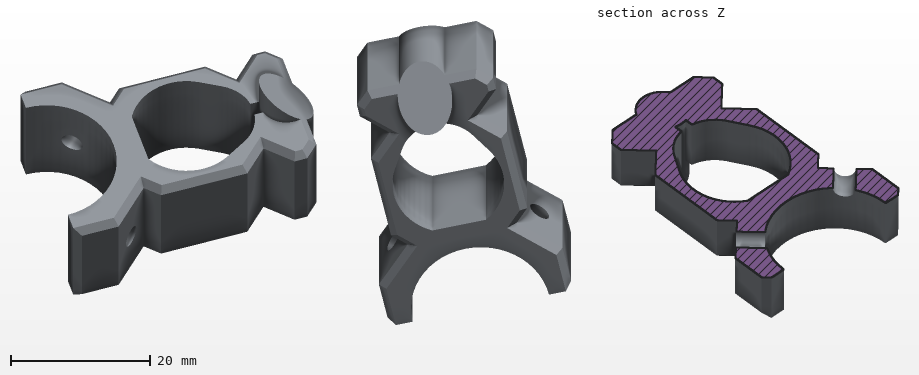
import cadquery as cq
import math

body_height = 16.0
edge_chamfer = 1.0
body_end = 38.0
body_half_width = 10.0
arm_half_width = 27.0 / 2
arm_neck_half_width = 8.0
arm_neck_y = 12.0
head_neck_half_width = 6.45
head_neck_y = 30.52
head_corner = 2.0

seat_radius = 10.0
screw_diameter = 3.2

egg_large_radius = 8.0
egg_small_radius = 6.0
egg_large_y = 21.0
egg_small_y = 25.0
egg_flat_y = 14.0
slot_width = 2.0

pin_radius = 3.9
pin_y = 39.9 - pin_radius


def base_plane():
    """Return the XY plane at the bottom face of the clip body."""
    return cq.Workplane("XY", origin=(0, 0, -body_height / 2))


def mirrored(points):
    """Close a half outline with its mirror image across the YZ plane."""
    return points + [(-x, y) for x, y in reversed(points)]


def make_body():
    neck_rise = body_half_width - head_neck_half_width
    half_outline = [
        (arm_half_width, 0),
        (arm_half_width, arm_neck_y - (arm_half_width - arm_neck_half_width)),
        (arm_neck_half_width, arm_neck_y),
        (body_half_width, arm_neck_y + body_half_width - arm_neck_half_width),
        (body_half_width, head_neck_y - neck_rise),
        (head_neck_half_width, head_neck_y),
        (body_half_width, head_neck_y + neck_rise),
        (body_half_width, body_end - head_corner),
        (body_half_width - head_corner, body_end),
    ]
    body = (
        base_plane()
        .polyline(mirrored(half_outline))
        .close()
        .extrude(body_height)
    )
    arm_ends = body.faces("<Y").edges("|X")
    rims = body.faces("<Z or >Z").edges().objects
    rims = [edge for edge in rims if not any(edge.isSame(end) for end in arm_ends.objects)]
    arm_corners = body.faces("<Y").edges("|Z").objects
    return body.newObject(rims + arm_corners).chamfer(edge_chamfer)


def make_egg_cutter():
    sine = (egg_large_radius - egg_small_radius) / (egg_small_y - egg_large_y)
    cosine = math.sqrt(1 - sine**2)
    large_x = egg_large_radius * cosine
    large_y = egg_large_y + egg_large_radius * sine
    small_x = egg_small_radius * cosine
    small_y = egg_small_y + egg_small_radius * sine
    flat_x = math.sqrt(egg_large_radius**2 - (egg_large_y - egg_flat_y) ** 2)
    return (
        base_plane()
        .moveTo(-flat_x, egg_flat_y)
        .lineTo(flat_x, egg_flat_y)
        .threePointArc((egg_large_radius, egg_large_y), (large_x, large_y))
        .lineTo(small_x, small_y)
        .threePointArc((0, egg_small_y + egg_small_radius), (-small_x, small_y))
        .lineTo(-large_x, large_y)
        .threePointArc((-egg_large_radius, egg_large_y), (-flat_x, egg_flat_y))
        .close()
        .extrude(body_height)
    )


def make_slot_cutter():
    length = pin_y - egg_small_y
    return (
        base_plane()
        .center(0, egg_small_y + length / 2)
        .rect(slot_width, length)
        .extrude(body_height)
    )


def make_screw_cutter(side):
    half_slope = (arm_half_width - arm_neck_half_width) / 2
    start_x = side * (arm_neck_half_width + half_slope)
    start = cq.Vector(start_x, arm_neck_y - half_slope, 0)
    inward = cq.Vector(-side, -1, 0)
    return cq.Solid.makeCylinder(screw_diameter / 2, seat_radius, start, inward)


def make_pin():
    apex_y = body_end - edge_chamfer + body_height / 2
    pin_front = pin_y - pin_radius
    wedge = (
        cq.Workplane("YZ")
        .polyline([
            (pin_front, pin_front - apex_y),
            (apex_y, 0),
            (pin_front, apex_y - pin_front),
        ])
        .close()
        .extrude(pin_radius, both=True)
    )
    return (
        cq.Workplane("XY")
        .center(0, pin_y)
        .circle(pin_radius)
        .extrude(apex_y - pin_front, both=True)
        .intersect(wedge)
    )


merge_tolerance = 0.001
seat_cutter = base_plane().circle(seat_radius).extrude(body_height)

result = make_body().cut(seat_cutter).cut(make_egg_cutter()).cut(make_slot_cutter())
for side in (-1, 1):
    result = result.cut(cq.Workplane(make_screw_cutter(side)))
result = result.union(make_pin(), tol=merge_tolerance).clean()